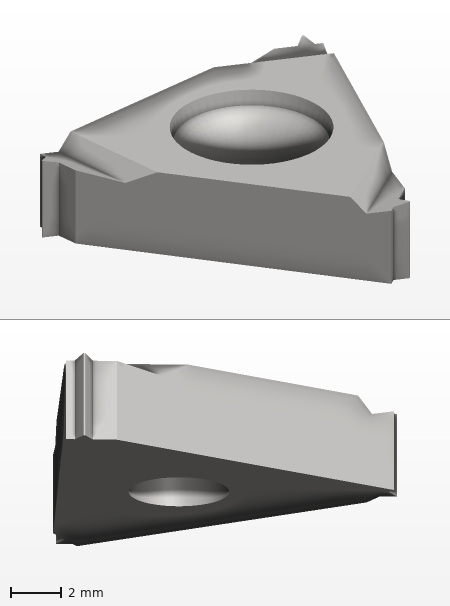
import cadquery as cq
import math

inscribed_radius = 9.525 / 2
thickness = 3.65
corner_count = 3
corner_step = 360 / corner_count

overall_length = 15.32
tooth_offset = 0.70
tooth_depth = 0.57
tooth_half_angle = math.radians(30)
tip_radius = 0.05

groove_start = 5.40
groove_depth = 0.66
groove_wall_angle = math.radians(45)
rake_angle = math.radians(15)

hole_radius = 2.0
mouth_radius = 3.25
seat_radius = 3.1
seat_depth = 0.62
flare_radius = 2.0

side_corner_height = inscribed_radius * math.sin(math.radians(corner_step))
land_share = 1 - math.cos(math.radians(corner_step))
land_distance = (overall_length - tooth_depth - side_corner_height) / land_share
tip_distance = land_distance + tooth_depth
reach = 2 * tip_distance


def rotate_to_corner(body, corner):
    return body.rotate((0, 0, 0), (0, 0, 1), corner * corner_step)


def make_blank():
    """Full triangular prism with sharp corners and one side facing -X."""
    circumscribed_diameter = 4 * inscribed_radius
    return cq.Workplane("XY").polygon(corner_count, circumscribed_diameter).extrude(thickness)


def make_corner_relief():
    """Material beyond the land of the first corner, leaving the round-tipped tooth."""
    tooth_x = tooth_offset - inscribed_radius
    arc_center_distance = tip_distance - tip_radius
    sharp_height = tooth_depth - tip_radius + tip_radius / math.sin(tooth_half_angle)
    base_half_width = sharp_height * math.tan(tooth_half_angle)
    tangent_half_width = tip_radius * math.cos(tooth_half_angle)
    tangent_y = -arc_center_distance - tip_radius * math.sin(tooth_half_angle)
    return (
        cq.Workplane("XY")
        .moveTo(-reach, -land_distance)
        .lineTo(tooth_x - base_half_width, -land_distance)
        .lineTo(tooth_x - tangent_half_width, tangent_y)
        .threePointArc((tooth_x, -tip_distance), (tooth_x + tangent_half_width, tangent_y))
        .lineTo(tooth_x + base_half_width, -land_distance)
        .lineTo(reach, -land_distance)
        .lineTo(reach, -reach)
        .lineTo(-reach, -reach)
        .close()
        .extrude(thickness)
    )


def make_chip_groove():
    """Sloped groove wall and the rake face rising outward to the first corner."""
    valley_distance = groove_start + groove_depth / math.tan(groove_wall_angle)
    valley_z = thickness - groove_depth
    rake_end_z = valley_z + (reach - valley_distance) * math.tan(rake_angle)
    profile = (
        cq.Workplane("YZ")
        .moveTo(-groove_start, thickness)
        .lineTo(-valley_distance, valley_z)
        .lineTo(-reach, rake_end_z)
        .lineTo(-groove_start, rake_end_z)
        .close()
    )
    return profile.extrude(reach, both=True)


def make_screw_hole():
    """Through hole whose flare is an arc tangent to the bore, topped by a cone."""
    seat_z = thickness - seat_depth
    flare_width = seat_radius - hole_radius
    sweep = math.acos(1 - flare_width / flare_radius)
    throat_z = seat_z - flare_radius * math.sin(sweep)
    flare_middle = (
        hole_radius + flare_radius * (1 - math.cos(sweep / 2)),
        throat_z + flare_radius * math.sin(sweep / 2),
    )
    return (
        cq.Workplane("XZ")
        .lineTo(hole_radius, 0)
        .lineTo(hole_radius, throat_z)
        .threePointArc(flare_middle, (seat_radius, seat_z))
        .lineTo(mouth_radius, thickness)
        .lineTo(0, thickness)
        .close()
        .revolve(360, (0, 0, 0), (0, 1, 0))
    )


def make_insert():
    insert = make_blank()
    for corner in range(corner_count):
        insert = insert.cut(rotate_to_corner(make_corner_relief(), corner))
        insert = insert.cut(rotate_to_corner(make_chip_groove(), corner))
    return insert.cut(make_screw_hole())


result = make_insert()